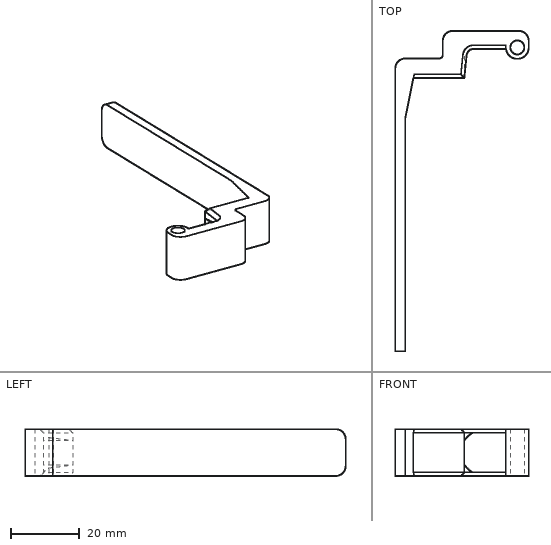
import cadquery as cq
import math

width = 38.8
length = 92.95
height = 13.7

arm_thickness = 3.0
outer_radius = 3.0
step_x = 13.8
step_depth = 8.0
step_inner_radius = 0.9
front_face_depth = 13.8
taper_end_depth = 25.4
taper_top_x = 5.3

recess_depth = 5.3
block_right_x = 20.1
recess_wall_lean = 0.1
recess_radius = 2.0
rim_chamfer = 1.1

barrel_radius = 3.3
pin_hole_diameter = 4.0
barrel_x = width - barrel_radius
barrel_y = -4.8

clearance_radius = 6.5
clearance_x = barrel_x - barrel_radius - clearance_radius
clearance_flat_half = math.sqrt(clearance_radius**2 - (clearance_x - block_right_x) ** 2)

recess_corner_x = block_right_x + recess_wall_lean * (front_face_depth - recess_depth)
barrel_start_x = barrel_x - math.sqrt(barrel_radius**2 - (recess_depth + barrel_y) ** 2)
mid_z = height / 2


def vertical_edge_at(x, y):
    """Selector for the vertical edge standing at (x, y)."""
    return cq.selectors.NearestToPointSelector((x, y, mid_z))


def make_body():
    """Extruded outline of the arm and stepped head with its vertical rounds."""
    body = (
        cq.Workplane("XY")
        .moveTo(0, -length)
        .lineTo(arm_thickness, -length)
        .lineTo(arm_thickness, -taper_end_depth)
        .lineTo(taper_top_x, -front_face_depth)
        .lineTo(block_right_x, -front_face_depth)
        .lineTo(recess_corner_x, -recess_depth)
        .lineTo(barrel_start_x, -recess_depth)
        .threePointArc((barrel_x, barrel_y - barrel_radius), (width, barrel_y))
        .lineTo(width, 0)
        .lineTo(step_x, 0)
        .lineTo(step_x, -step_depth)
        .lineTo(0, -step_depth)
        .close()
        .extrude(height)
    )
    for corner in [(width, 0), (step_x, 0), (0, -step_depth)]:
        body = body.edges(vertical_edge_at(*corner)).fillet(outer_radius)
    body = body.edges(vertical_edge_at(step_x, -step_depth)).fillet(step_inner_radius)
    return body.edges(vertical_edge_at(recess_corner_x, -recess_depth)).fillet(recess_radius)


def chamfer_rims(body):
    """Chamfer the top and bottom rims of the block front and the recess."""
    front_mid_x = (taper_top_x + block_right_x) / 2
    floor_mid_x = (recess_corner_x + barrel_start_x) / 2
    for z in (0, height):
        front_rim = cq.selectors.NearestToPointSelector((front_mid_x, -front_face_depth, z))
        floor_rim = cq.selectors.NearestToPointSelector((floor_mid_x, -recess_depth, z))
        body = body.edges(cq.selectors.SumSelector(front_rim, floor_rim)).chamfer(rim_chamfer)
    return body


def round_arm_end(body):
    """Round the upper and lower corners of the arm's free end."""
    return body.faces("<Y").edges("|X").fillet(outer_radius)


def bore_pin_hole(body):
    """Bore the hinge pin hole through the barrel."""
    hole = cq.Workplane("XY").center(barrel_x, barrel_y).circle(pin_hole_diameter / 2).extrude(height)
    return body.cut(hole)


def cut_clearance(body):
    """Cut the flat-sided round clearance from the recess floor forward past the lean wall."""
    cutter = (
        cq.Workplane("XZ", origin=(0, -recess_depth, mid_z))
        .moveTo(block_right_x, -clearance_flat_half)
        .threePointArc((clearance_x + clearance_radius, 0), (block_right_x, clearance_flat_half))
        .close()
        .extrude(front_face_depth - recess_depth)
    )
    return body.cut(cutter)


body = round_arm_end(chamfer_rims(make_body()))
result = bore_pin_hole(cut_clearance(body))